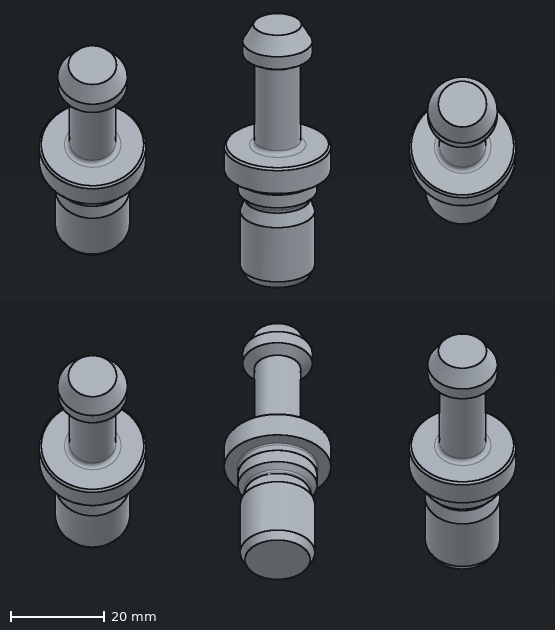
import cadquery as cq
import math

total_height = 60.0
thread_top = 15.0
relief_bottom = 18.0
pilot_bottom = 20.05
pilot_top = 23.2
flange_bottom = 25.0
flange_top = 31.0
head_rim_bottom = 53.0
head_rim_top = 56.0

thread_radius = 8.05
thread_tip_radius = 7.0
relief_radius = 7.0
pilot_radius = 8.5
pilot_chamfer = 0.1
undercut_radius = pilot_radius - pilot_chamfer
flange_diameter = 23.0
flange_radius = flange_diameter / 2
neck_radius = 5.0
head_radius = 7.5

thread_chamfer_height = 1.9
relief_fillet = 0.6
relief_cone_angle = math.radians(50)
undercut_fillet = 0.3
flange_chamfer = 0.5
neck_fillet = 1.1
head_cone_angle = math.radians(30)
arc_mid_angle = math.radians(45)

head_top_radius = head_radius - (total_height - head_rim_top) * math.tan(head_cone_angle)
head_underside = head_rim_bottom - (head_radius - neck_radius) * math.tan(head_cone_angle)

relief_corner = pilot_bottom - (pilot_radius - relief_radius) / math.tan(relief_cone_angle)
relief_tangent = relief_fillet * math.tan(relief_cone_angle / 2)
relief_round_start = (relief_radius, relief_corner - relief_tangent)
relief_round_mid = (
    relief_radius + relief_fillet * (1 - math.cos(relief_cone_angle / 2)),
    relief_corner - relief_tangent + relief_fillet * math.sin(relief_cone_angle / 2),
)
relief_round_end = (
    relief_radius + relief_tangent * math.sin(relief_cone_angle),
    relief_corner + relief_tangent * math.cos(relief_cone_angle),
)


def inner_corner_mid(center, radius, rise):
    """Middle of a quarter arc on the axis side of its center; rise is +1 (upper) or -1 (lower)."""
    return (
        center[0] - radius * math.cos(arc_mid_angle),
        center[1] + rise * radius * math.sin(arc_mid_angle),
    )


undercut_center = (undercut_radius + undercut_fillet, flange_bottom - undercut_fillet)
neck_center = (neck_radius + neck_fillet, flange_top + neck_fillet)

profile = (
    cq.Workplane("XZ")
    .moveTo(0, 0)
    .lineTo(thread_tip_radius, 0)
    .lineTo(thread_radius, thread_chamfer_height)
    .lineTo(thread_radius, thread_top)
    .lineTo(relief_radius, relief_bottom)
    .lineTo(*relief_round_start)
    .threePointArc(relief_round_mid, relief_round_end)
    .lineTo(pilot_radius, pilot_bottom)
    .lineTo(pilot_radius, pilot_top - pilot_chamfer)
    .lineTo(undercut_radius, pilot_top)
    .lineTo(undercut_radius, undercut_center[1])
    .threePointArc(
        inner_corner_mid(undercut_center, undercut_fillet, 1),
        (undercut_center[0], flange_bottom),
    )
    .lineTo(flange_radius, flange_bottom)
    .lineTo(flange_radius, flange_top - flange_chamfer)
    .lineTo(flange_radius - flange_chamfer, flange_top)
    .lineTo(neck_center[0], flange_top)
    .threePointArc(
        inner_corner_mid(neck_center, neck_fillet, -1),
        (neck_radius, neck_center[1]),
    )
    .lineTo(neck_radius, head_underside)
    .lineTo(head_radius, head_rim_bottom)
    .lineTo(head_radius, head_rim_top)
    .lineTo(head_top_radius, total_height)
    .lineTo(0, total_height)
    .close()
)

result = profile.revolve(360, (0, 0, 0), (0, 1, 0))